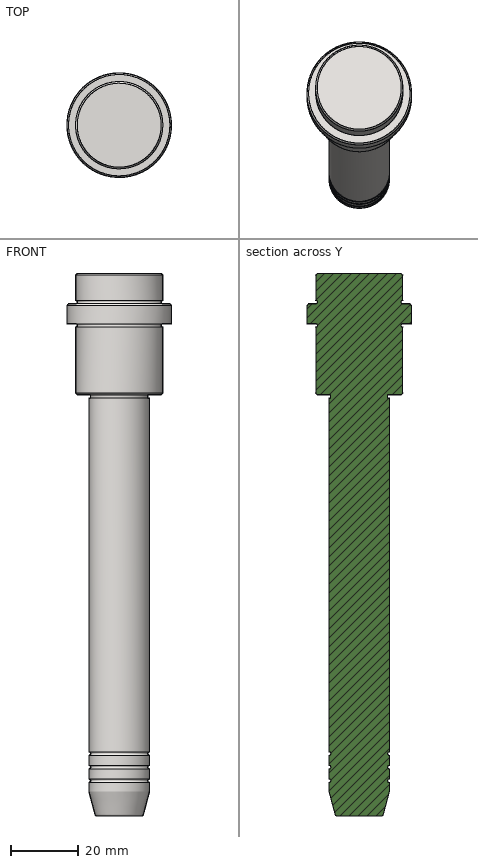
import cadquery as cq

total_length = 161.0
head_radius = 12.96
flange_radius = 15.54
stem_radius = 9.0

flange_top_depth = 9.0
flange_thickness = 6.0
head_length = 36.0
edge_break = 0.5

groove_radius = 0.5

neck_length = 1.0
neck_depth = 0.5

taper_length = 7.2
tip_radius = 7.1
tip_rounding = 0.5
groove_count = 3
first_groove_z = 10.5
groove_pitch = 4.0

flange_top_z = total_length - flange_top_depth
flange_bottom_z = flange_top_z - flange_thickness
head_bottom_z = total_length - head_length


def cylinder(radius, bottom_z, height):
    return cq.Workplane("XY").workplane(offset=bottom_z).circle(radius).extrude(height)


def ring_cut(outer_radius, depth, bottom_z, width):
    """Ring of material that leaves a square groove in a round shaft."""
    return (
        cq.Workplane("XY")
        .workplane(offset=bottom_z)
        .circle(outer_radius)
        .circle(outer_radius - depth)
        .extrude(width)
    )


def round_ring(shaft_radius, center_z):
    """Torus that leaves a half-round groove in a round shaft."""
    section = cq.Workplane("XZ").center(shaft_radius, center_z).circle(groove_radius)
    return section.revolve(360, (-shaft_radius, 0, 0), (-shaft_radius, 1, 0))


def make_head():
    barrel = cylinder(head_radius, head_bottom_z, head_length)
    barrel = barrel.faces("<Z or >Z").edges().chamfer(edge_break)
    for relief_z in (flange_top_z + groove_radius, flange_bottom_z - groove_radius):
        barrel = barrel.cut(round_ring(head_radius, relief_z))
    flange = cylinder(flange_radius, flange_bottom_z, flange_thickness)
    flange = flange.faces(">Z").edges().chamfer(edge_break)
    return barrel.union(flange)


def make_stem():
    profile = (
        cq.Workplane("XZ")
        .lineTo(tip_radius, 0)
        .lineTo(stem_radius, taper_length)
        .lineTo(stem_radius, head_bottom_z)
        .lineTo(0, head_bottom_z)
        .close()
    )
    stem = profile.revolve(360, (0, 0, 0), (0, 1, 0))
    stem = stem.faces("<Z").edges().fillet(tip_rounding)
    for index in range(groove_count):
        groove_z = first_groove_z + index * groove_pitch
        stem = stem.cut(round_ring(stem_radius, groove_z))
    return stem.cut(ring_cut(stem_radius, neck_depth, head_bottom_z - neck_length, neck_length))


result = make_head().union(make_stem())